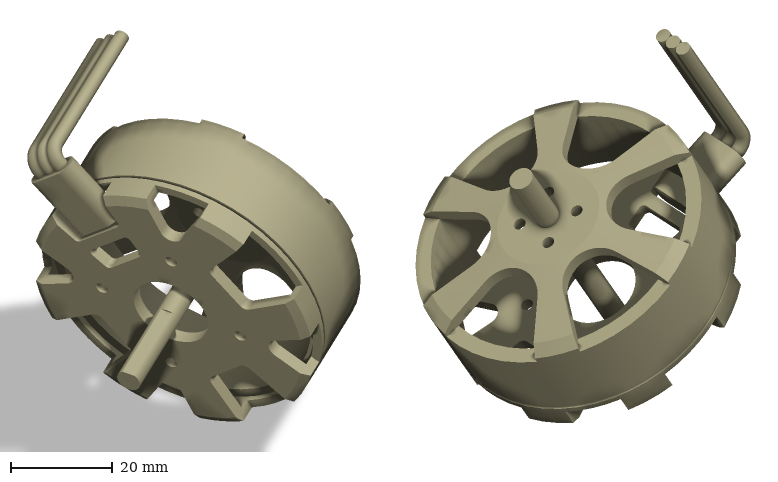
import cadquery as cq
import math

OVERCUT = 3.2

motor_radius = 30.35

shaft_radius = 2.5
shaft_front = -19.95
shaft_back = 43.05
flat_start = -1.9
flat_height = 2.1

base_depth = 6.2
base_floor = 2.7
base_inner_radius = 28.5
base_chamfer_radial = 1.9
base_chamfer_axial = 1.0
base_bore_radius = 8.05
slot_depth = 5.0
screw_hole_radius = 1.3
base_screw_circle = 15.0
square_angles = (0, 90, 180, 270)

v_apex_distance = 18.1
v_half_angle = 26.6
v_tip_radius = 2.5

wide_slot_angles = (45, 225, 315)
wide_slot_inner = 16.9
wide_slot_inner_half_width = 5.6
wide_slot_side_angle = 10.0
wide_slot_corner_radius = 1.5

cable_angle = 135
window_inner = 14.1
window_outer = 19.45
notch_inner = 22.15
outlet_corner_radius = 1.0

rotor_gap = 0.65
rotor_front = base_depth + rotor_gap
rotor_ring_back = 23.3
rotor_inner_radius = 27.1
spoke_thickness = 2.7
spoke_chamfer = 2.65
spoke_chamfer_start = 24.45
hub_flat_radius = 10.85
hub_screw_circle = 6.05
spoke_count = 6
spoke_half_angle = 8.7
window_tangent_radius = 17.9

cable_count = 3
cable_diameter = 3.0
cable_bend_radius = 3.0
cable_distance = 41.8
cable_back = 36.4
sleeve_inner = 23.05
sleeve_outer = 38.1
sleeve_width = 11.9
sleeve_thickness = slot_depth


def turn(shape, angle):
    """Turn a shape about the motor axis, from +X toward +Z."""
    return shape.rotate((0, 0, 0), (0, 1, 0), -angle)


def plane_at(y):
    """Cross-section plane with local axes X and Z; extrude by a negative length toward +Y."""
    return cq.Workplane("XZ", origin=(0, y, 0))


def screw_holes(circle_radius, y_start, y_end):
    """Four round cutters on a circle about the axis."""
    start = plane_at(y_start).polarArray(circle_radius, 0, 360, len(square_angles))
    return start.circle(screw_hole_radius).extrude(y_start - y_end)


def make_shaft():
    shaft = plane_at(shaft_front).circle(shaft_radius).extrude(shaft_front - shaft_back)
    flat_length = flat_start - shaft_front
    flat_cut = cq.Workplane("XY").box(
        2 * shaft_radius, flat_length, shaft_radius, centered=(True, False, False)
    )
    return shaft.cut(flat_cut.translate((0, shaft_front, flat_height)))


def v_slot():
    """Slot along +X that opens outward from a rounded tip."""
    reach = motor_radius + OVERCUT
    half_mouth = (reach - v_apex_distance) * math.tan(math.radians(v_half_angle))
    outline = [(v_apex_distance, 0), (reach, half_mouth), (reach, -half_mouth)]
    slot = plane_at(0).polyline(outline).close().extrude(-slot_depth)
    return slot.edges("|Y").edges("<X").fillet(v_tip_radius)


def wide_slot(inner, outer, corner_radius):
    """Slot along +X with slightly spreading sides and rounded inner corners."""
    spread = math.tan(math.radians(wide_slot_side_angle))
    half_inner = wide_slot_inner_half_width + (inner - wide_slot_inner) * spread
    half_outer = wide_slot_inner_half_width + (outer - wide_slot_inner) * spread
    outline = [(inner, half_inner), (outer, half_outer), (outer, -half_outer), (inner, -half_inner)]
    slot = plane_at(0).polyline(outline).close().extrude(-slot_depth)
    return slot.edges("|Y").edges("<X").fillet(corner_radius)


def make_base():
    profile = [
        (base_bore_radius, 0),
        (motor_radius - base_chamfer_radial, 0),
        (motor_radius, base_chamfer_axial),
        (motor_radius, base_depth),
        (base_inner_radius, base_depth),
        (base_inner_radius, base_floor),
        (base_bore_radius, base_floor),
    ]
    base = cq.Workplane("XY").polyline(profile).close().revolve(360, (0, 0), (0, 1))
    base = base.cut(screw_holes(base_screw_circle, 0, base_floor))
    for angle in square_angles:
        base = base.cut(turn(v_slot(), angle))
    rim = motor_radius + OVERCUT
    for angle in wide_slot_angles:
        base = base.cut(turn(wide_slot(wide_slot_inner, rim, wide_slot_corner_radius), angle))
    base = base.cut(turn(wide_slot(notch_inner, rim, outlet_corner_radius), cable_angle))
    window = wide_slot(window_inner, window_outer, outlet_corner_radius)
    window = window.edges("|Y").edges(">X").fillet(outlet_corner_radius)
    return base.cut(turn(window, cable_angle))


def spoke_window():
    """Opening along +X between two spokes: radial sides joined by a round inner end."""
    half_angle = math.radians(180 / spoke_count - spoke_half_angle)
    tangent_x = window_tangent_radius * math.cos(half_angle)
    tangent_z = window_tangent_radius * math.sin(half_angle)
    round_radius = window_tangent_radius * math.tan(half_angle)
    tip_x = window_tangent_radius / math.cos(half_angle) - round_radius
    reach = motor_radius + OVERCUT
    mouth_z = reach * math.tan(half_angle)
    outline = (
        plane_at(rotor_ring_back)
        .moveTo(reach, -mouth_z)
        .lineTo(tangent_x, -tangent_z)
        .threePointArc((tip_x, 0), (tangent_x, tangent_z))
        .lineTo(reach, mouth_z)
        .close()
    )
    return outline.extrude(-2 * spoke_thickness - OVERCUT)


def make_rotor():
    hub_inside = rotor_ring_back + spoke_thickness
    hub_back = hub_inside + spoke_thickness
    profile = [
        (shaft_radius, hub_inside),
        (hub_flat_radius, hub_inside),
        (rotor_inner_radius, rotor_ring_back),
        (rotor_inner_radius, rotor_front),
        (motor_radius, rotor_front),
        (motor_radius, spoke_chamfer_start),
        (motor_radius - spoke_chamfer, hub_inside),
        (hub_flat_radius, hub_back),
        (shaft_radius, hub_back),
    ]
    rotor = cq.Workplane("XY").polyline(profile).close().revolve(360, (0, 0), (0, 1))
    rotor = rotor.cut(screw_holes(hub_screw_circle, hub_inside, hub_back))
    for index in range(spoke_count):
        rotor = rotor.cut(turn(spoke_window(), index * 360 / spoke_count))
    return rotor


def make_sleeve():
    sleeve = (
        cq.Workplane("YZ", origin=(sleeve_inner, sleeve_thickness / 2, 0))
        .slot2D(sleeve_width, sleeve_thickness, 90)
        .extrude(sleeve_outer - sleeve_inner)
    )
    return turn(sleeve, cable_angle)


def make_cable(offset):
    """One cable from the sleeve end outward, then bent to run toward +Y."""
    exit_y = sleeve_thickness / 2
    bend_x = cable_distance - cable_bend_radius
    bend_diagonal = cable_bend_radius * math.sqrt(0.5)
    bend_middle = (bend_x + bend_diagonal, exit_y + cable_bend_radius - bend_diagonal)
    path = (
        cq.Workplane("XY", origin=(0, 0, offset))
        .moveTo(sleeve_outer, exit_y)
        .lineTo(bend_x, exit_y)
        .threePointArc(bend_middle, (cable_distance, exit_y + cable_bend_radius))
        .lineTo(cable_distance, cable_back)
    )
    section = cq.Workplane("YZ", origin=(sleeve_outer, exit_y, offset)).circle(cable_diameter / 2)
    return turn(section.sweep(path), cable_angle)


shaft = make_shaft()
base = make_base()
rotor = make_rotor()
sleeve = make_sleeve()
cables = []
for index in range(cable_count):
    cable_offset = (index - (cable_count - 1) / 2) * cable_diameter
    cables.append(make_cable(cable_offset).val())

result = cq.Compound.makeCompound([shaft.val(), base.val(), rotor.val(), sleeve.val(), *cables])